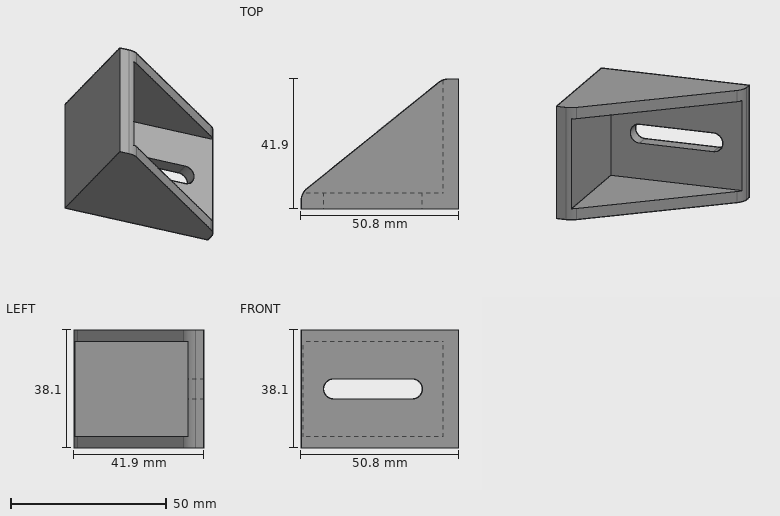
import cadquery as cq

length = 50.8
depth = 41.9
height = 38.1

front_thickness = 5.1
end_thickness = 5.1
gusset_thickness = 3.8

front_lip = 5.1
end_lip = 5.1
blend_radius = 5.1

slot_length = 31.75
slot_width = 6.35
slot_center_x = 23.15


def make_wedge():
    """Solid triangular body with rounded corners at both ends of the slope."""
    wedge = (
        cq.Workplane("XY")
        .moveTo(0, 0)
        .lineTo(length, 0)
        .lineTo(length, depth)
        .lineTo(length - end_lip, depth)
        .lineTo(0, front_lip)
        .close()
        .extrude(height)
    )
    return wedge.edges("|Z and (not >X) and (not <Y)").fillet(blend_radius)


def make_pocket():
    """Space between the gussets, open through the sloped side."""
    return cq.Workplane("XY").box(
        length - end_thickness,
        depth - front_thickness,
        height - 2 * gusset_thickness,
        centered=False,
    ).translate((0, front_thickness, gusset_thickness))


def make_slot():
    """Round-ended slot through the front wall."""
    return (
        cq.Workplane("XZ")
        .center(slot_center_x, height / 2)
        .slot2D(slot_length, slot_width)
        .extrude(-front_thickness)
    )


result = make_wedge().cut(make_pocket()).cut(make_slot())